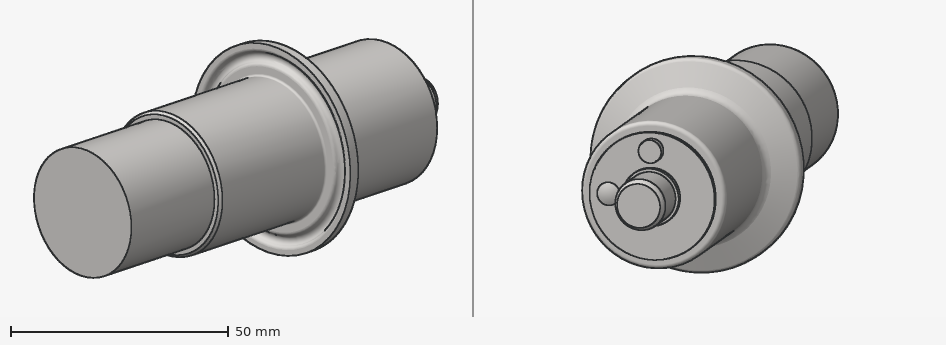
import cadquery as cq
import math

total_length = 113.5

nose_radius = 31.0 / 2
nose_length = 27.8
body_radius = 34.7 / 2
body_back = 101.0
body_front_chamfer = 0.7
body_back_fillet = 1.0

flange_radius = 50.5 / 2
flange_front = 63.0
flange_rim_back = 66.0
flange_back_angle = 20.0
flange_rim_fillet = 1.0
flange_root_fillet = 2.3
flange_front_fillet = 0.6

groove_mid_radius = 21.8
groove_width = 2.7
groove_depth = groove_width / 2
groove_lip_fillet = 0.9

cap_radius = 30.0 / 2
cap_back = 102.2
collar_radius = 13.5 / 2
collar_back = 103.5
connector_radius = 12.0 / 2
connector_tip_radius = 10.3 / 2
tip_chamfer_length = 1.5
tip_break_length = 0.7
tip_break_radius = 5.7

stud_radius = 5.5 / 2
stud_offset_z = 10.9
stud_height = 1.9
cross_hole_diameter = 1.0
cross_hole_depth_from_top = 0.7
cross_hole_angle = 45.0
button_radius = 5.5 / 2
button_offset_x = 10.4
button_height = 0.7

overlap = 0.6


def cylinder(radius, start, end, x=0, z=0):
    """Solid cylinder parallel to Y, from Y = start to Y = end."""
    axis_start = cq.Vector(x, start, z)
    solid = cq.Solid.makeCylinder(radius, end - start, axis_start, cq.Vector(0, 1, 0))
    return cq.Workplane("XY").newObject([solid])


def turned(points):
    """Solid of revolution about Y from a closed (radius, Y) outline."""
    return cq.Workplane("XY").polyline(points).close().revolve(360, (0, 0, 0), (0, 1, 0))


def ring_edges(part, radius, y):
    """Circular edges of the given radius lying at the given Y."""
    tolerance = 0.01

    def matches(edge):
        return abs(edge.radius() - radius) < tolerance and abs(edge.Center().y - y) < tolerance

    return part.newObject([e for e in part.edges("%CIRCLE").vals() if matches(e)])


def make_body():
    cone_rise = (flange_radius - body_radius) * math.tan(math.radians(flange_back_angle))
    flange_root_back = flange_rim_back + cone_rise
    body = turned([
        (0, 0),
        (nose_radius, 0),
        (nose_radius, nose_length),
        (body_radius, nose_length),
        (body_radius, flange_front),
        (flange_radius, flange_front),
        (flange_radius, flange_rim_back),
        (body_radius, flange_root_back),
        (body_radius, body_back),
        (0, body_back),
    ])
    body = ring_edges(body, body_radius, nose_length).chamfer(body_front_chamfer)
    body = ring_edges(body, body_radius, body_back).fillet(body_back_fillet)
    body = ring_edges(body, body_radius, flange_front).fillet(flange_front_fillet)
    body = ring_edges(body, body_radius, flange_root_back).fillet(flange_root_fillet)
    return ring_edges(body, flange_radius, flange_rim_back).fillet(flange_rim_fillet)


def cut_gasket_groove(body):
    inner_radius = groove_mid_radius - groove_width / 2
    outer_radius = groove_mid_radius + groove_width / 2
    groove = (
        cq.Workplane("XY")
        .moveTo(inner_radius, flange_front)
        .threePointArc((groove_mid_radius, flange_front + groove_depth), (outer_radius, flange_front))
        .close()
        .revolve(360, (0, 0, 0), (0, 1, 0))
    )
    body = body.cut(groove)
    for lip_radius in (inner_radius, outer_radius):
        body = ring_edges(body, lip_radius, flange_front).fillet(groove_lip_fillet)
    return body


def make_connector():
    return turned([
        (0, body_back - overlap),
        (cap_radius, body_back - overlap),
        (cap_radius, cap_back),
        (collar_radius, cap_back),
        (collar_radius, collar_back),
        (connector_radius, collar_back),
        (connector_radius, total_length - tip_chamfer_length),
        (tip_break_radius, total_length - tip_break_length),
        (connector_tip_radius, total_length),
        (0, total_length),
    ])


def make_stud():
    top = cap_back + stud_height
    stud = cylinder(stud_radius, cap_back - overlap, top, z=stud_offset_z)
    angle = math.radians(cross_hole_angle)
    direction = cq.Vector(math.cos(angle), 0, math.sin(angle))
    hole_center = cq.Vector(0, top - cross_hole_depth_from_top, stud_offset_z)
    half_length = stud_radius + overlap
    hole_start = hole_center - direction * half_length
    hole = cq.Solid.makeCylinder(cross_hole_diameter / 2, 2 * half_length, hole_start, direction)
    return stud.cut(cq.Workplane("XY").newObject([hole]))


def make_button():
    sphere_radius = (button_radius**2 + button_height**2) / (2 * button_height)
    sphere_y = cap_back + button_height - sphere_radius
    sphere = cq.Workplane("XY").sphere(sphere_radius).translate((button_offset_x, sphere_y, 0))
    post = cylinder(button_radius, cap_back - overlap, cap_back + button_height + overlap, x=button_offset_x)
    return post.intersect(sphere)


body = cut_gasket_groove(make_body())
result = body.union(make_connector()).union(make_stud()).union(make_button())